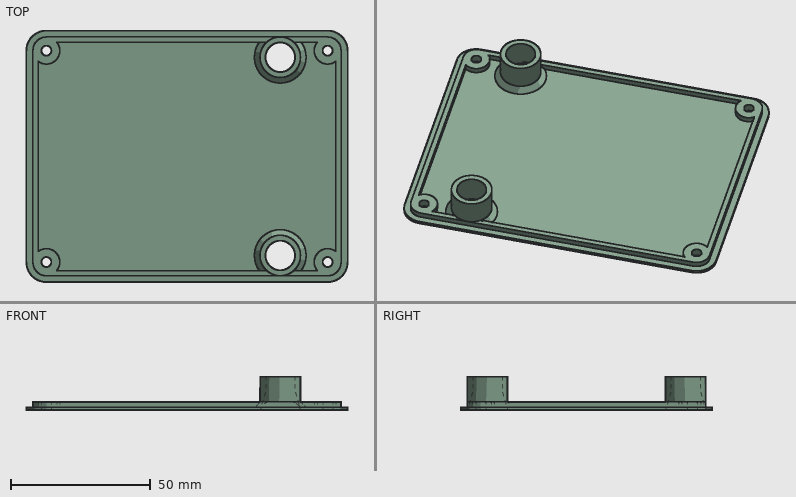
import cadquery as cq

plate_length = 115.0
plate_width = 90.0
plate_thickness = 1.0
plate_corner_radius = 7.2
lip_inset_x = 2.4
lip_inset_y = 2.3
lip_top = 3.0
lip_wall = 1.85

screw_hole_diameter = 3.5

tube_outer_diameter = 14.5
tube_bore_diameter = 10.5
tube_top = 12.0
tube_flare_top = 7.0
tube_x = 33.35
tube_foot_width = 2.0
tube_foot_height = 2.0

lip_length = plate_length - 2 * lip_inset_x
lip_width = plate_width - 2 * lip_inset_y
lip_corner_radius = plate_corner_radius - lip_inset_x
lip_height = lip_top - plate_thickness
screw_x = plate_length / 2 - plate_corner_radius
screw_y = plate_width / 2 - plate_corner_radius
screw_points = [(x, y) for x in (-screw_x, screw_x) for y in (-screw_y, screw_y)]
tube_radius = tube_outer_diameter / 2
tube_y = lip_width / 2 - tube_radius
tube_points = [(tube_x, -tube_y), (tube_x, tube_y)]


def rounded_block(length, width, height, corner_radius, bottom):
    """Centred block with rounded vertical edges, standing on the height `bottom`."""
    block = cq.Workplane("XY", origin=(0, 0, bottom)).rect(length, width).extrude(height)
    return block.edges("|Z").fillet(corner_radius)


def cylinders(points, diameter, bottom, top):
    """Equal upright cylinders centred on the given points."""
    plane = cq.Workplane("XY", origin=(0, 0, bottom))
    return plane.pushPoints(points).circle(diameter / 2).extrude(top - bottom)


def make_lip():
    """Raised frame with a square-cornered opening."""
    outside = rounded_block(lip_length, lip_width, lip_height, lip_corner_radius, plate_thickness)
    opening = (
        cq.Workplane("XY", origin=(0, 0, plate_thickness))
        .rect(lip_length - 2 * lip_wall, lip_width - 2 * lip_wall)
        .extrude(lip_height)
    )
    return outside.cut(opening)


def make_tube_foot(x, y):
    """Conical flare around the foot of a tube, trimmed to the outline of the lip."""
    cone = cq.Solid.makeCone(
        tube_radius + tube_foot_width,
        tube_radius,
        tube_foot_height,
        pnt=cq.Vector(x, y, plate_thickness),
    )
    envelope = rounded_block(lip_length, lip_width, tube_top, lip_corner_radius, plate_thickness)
    return envelope.intersect(cq.Workplane(cone))


def make_bore_flare(x, y):
    """Cone that widens the bore downwards to the tube's outer diameter at the underside."""
    cone = cq.Solid.makeCone(
        tube_radius,
        tube_bore_diameter / 2,
        tube_flare_top,
        pnt=cq.Vector(x, y, 0),
    )
    return cq.Workplane(cone)


body = rounded_block(plate_length, plate_width, plate_thickness, plate_corner_radius, 0)
body = body.union(make_lip())
body = body.union(cylinders(screw_points, 2 * lip_corner_radius, 0, lip_top))
body = body.union(cylinders(tube_points, tube_outer_diameter, 0, tube_top))
for x, y in tube_points:
    body = body.union(make_tube_foot(x, y))
body = body.cut(cylinders(screw_points, screw_hole_diameter, 0, lip_top))
body = body.cut(cylinders(tube_points, tube_bore_diameter, 0, tube_top))
for x, y in tube_points:
    body = body.cut(make_bore_flare(x, y))

result = body